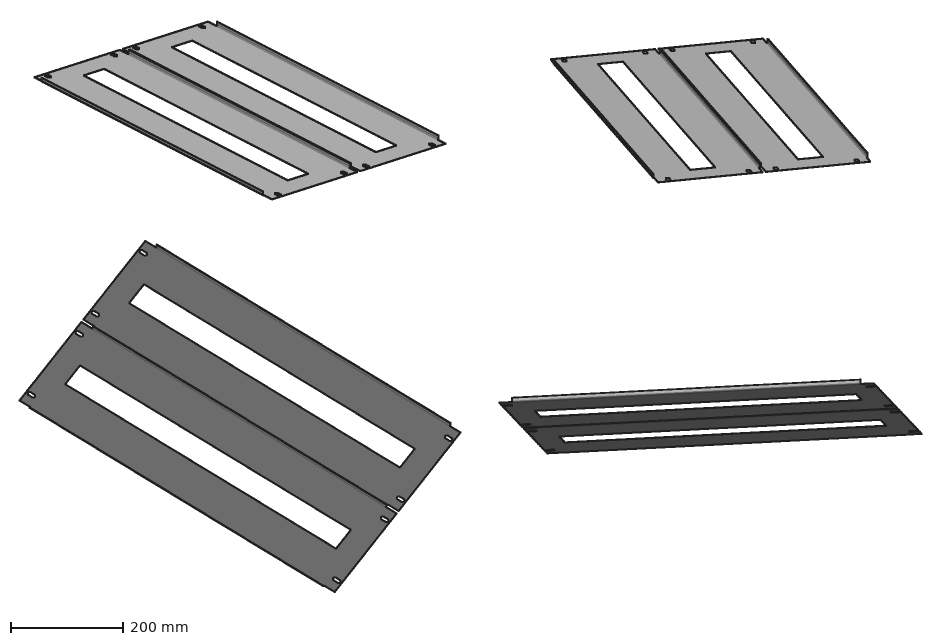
import cadquery as cq

panel_length = 682.0
assembly_depth = 398.0
panel_height = 8.0
sheet_thickness = 1.0
outer_bend_radius = 2.0
inner_bend_radius = outer_bend_radius - sheet_thickness

panel_count = 2
panel_pitch = 200.0
panel_depth = assembly_depth - (panel_count - 1) * panel_pitch

tab_length = 23.0
tab_setback = 2.4
flange_length = panel_length - 2 * tab_length
tab_depth = panel_depth - 2 * tab_setback

window_length = 586.0
window_depth = 46.5

slot_length = 15.0
slot_width = 7.0
slot_edge_distance = 11.0
slot_spacing_x = panel_length - 2 * slot_edge_distance
slot_spacing_y = 150.0


def sheet_box(length, depth, height):
    """Box centred in X and Y, standing on Z = 0."""
    return cq.Workplane("XY").box(length, depth, height, centered=(True, True, False))


def round_bottomed_box(depth, bottom_radius):
    """Box as long as the flanges, with its two long bottom edges rounded."""
    box = sheet_box(flange_length, depth, panel_height)
    return box.faces("<Z").edges("|X").fillet(bottom_radius)


def folded_sheet():
    """Flat sheet with an upturned flange along each long edge and a plain tab at each end."""
    trough = round_bottomed_box(panel_depth, outer_bend_radius)
    inside = round_bottomed_box(panel_depth - 2 * sheet_thickness, inner_bend_radius)
    flanged_sheet = trough.cut(inside.translate((0, 0, sheet_thickness)))
    return flanged_sheet.union(sheet_box(panel_length, tab_depth, sheet_thickness))


def window():
    return sheet_box(window_length, window_depth, sheet_thickness)


def mounting_slots():
    return (
        cq.Workplane("XY")
        .rarray(slot_spacing_x, slot_spacing_y, 2, 2)
        .slot2D(slot_length, slot_width)
        .extrude(sheet_thickness)
    )


def cover_panel(centre_y):
    panel = folded_sheet().cut(window()).cut(mounting_slots())
    return panel.translate((0, centre_y, 0))


first_centre_y = -panel_pitch * (panel_count - 1) / 2
cover_panels = [cover_panel(first_centre_y + i * panel_pitch) for i in range(panel_count)]

result = cq.Compound.makeCompound([panel.val() for panel in cover_panels])